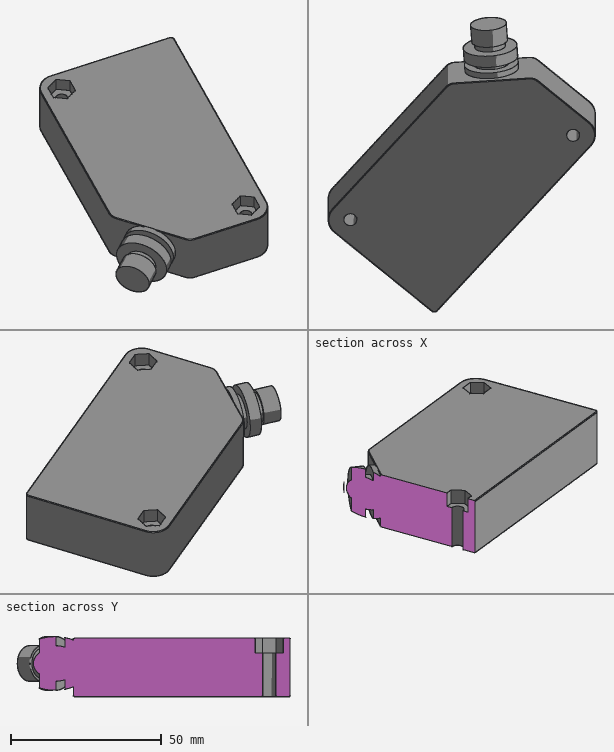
import cadquery as cq
import math

overall_length = 90.6

body_length = 85.0
body_width = 50.1
body_height = 19.6
bevel_leg = 20.0
large_corner_radius = 6.0
bevel_corner_radius = 4.0
small_corner_radius = 1.3
edge_break = 0.3

hole_inset = 7.0
hole_diameter = 4.3
hex_across_flats = 8.0
hex_depth = 5.0

connector_height = 11.05
flange_diameter = 17.9
thread_diameter = 11.95
groove_diameter = 10.2
ring_length = 2.0
collar_length = 4.0
connector_start_x = body_length - bevel_leg / 2
connector_reach = (overall_length - connector_start_x) * math.sqrt(2) - thread_diameter / 2
tip_length = connector_reach - 3 * ring_length - collar_length
connector_sections = [
    (flange_diameter, ring_length),
    (thread_diameter, ring_length),
    (flange_diameter, collar_length),
    (groove_diameter, ring_length),
    (thread_diameter, tip_length),
]


def make_housing():
    """Rectangular block with one bevelled corner and rounded upright edges."""
    bevel_start = (body_length - bevel_leg, 0)
    bevel_end = (body_length, bevel_leg)
    outline = [
        (0, 0),
        bevel_start,
        bevel_end,
        (body_length, body_width),
        (0, body_width),
    ]
    housing = cq.Workplane("XY").polyline(outline).close().extrude(body_height)

    corner_radii = [
        large_corner_radius,
        bevel_corner_radius,
        bevel_corner_radius,
        large_corner_radius,
        small_corner_radius,
    ]
    for (x, y), radius in zip(outline, corner_radii):
        corner = cq.selectors.NearestToPointSelector((x, y, body_height / 2))
        housing = housing.edges("|Z").edges(corner).fillet(radius)

    return housing.faces("<Z or >Z").edges().chamfer(edge_break)


def cut_mounting_holes(housing):
    """Through holes in two opposite corners, each with a hexagonal pocket on top."""
    hole_centres = [
        (hole_inset, hole_inset),
        (body_length - hole_inset, body_width - hole_inset),
    ]
    hex_across_corners = hex_across_flats / math.cos(math.pi / 6)
    holes = (
        cq.Workplane("XY")
        .pushPoints(hole_centres)
        .circle(hole_diameter / 2)
        .extrude(body_height)
    )
    pockets = (
        cq.Workplane("XY")
        .workplane(offset=body_height - hex_depth)
        .pushPoints(hole_centres)
        .polygon(6, hex_across_corners)
        .extrude(hex_depth)
    )
    return housing.cut(holes).cut(pockets)


def make_connector():
    """Stack of coaxial cylinders running outward from the bevelled face."""
    base = cq.Plane(
        origin=(connector_start_x, bevel_leg / 2, connector_height),
        xDir=(0, 0, 1),
        normal=(1, -1, 0),
    )
    connector = cq.Workplane(base)
    distance = 0
    for diameter, length in connector_sections:
        section = (
            cq.Workplane(base)
            .workplane(offset=distance)
            .circle(diameter / 2)
            .extrude(length)
        )
        connector = connector.add(section)
        distance += length
    return connector.combine()


result = cut_mounting_holes(make_housing()).union(make_connector())